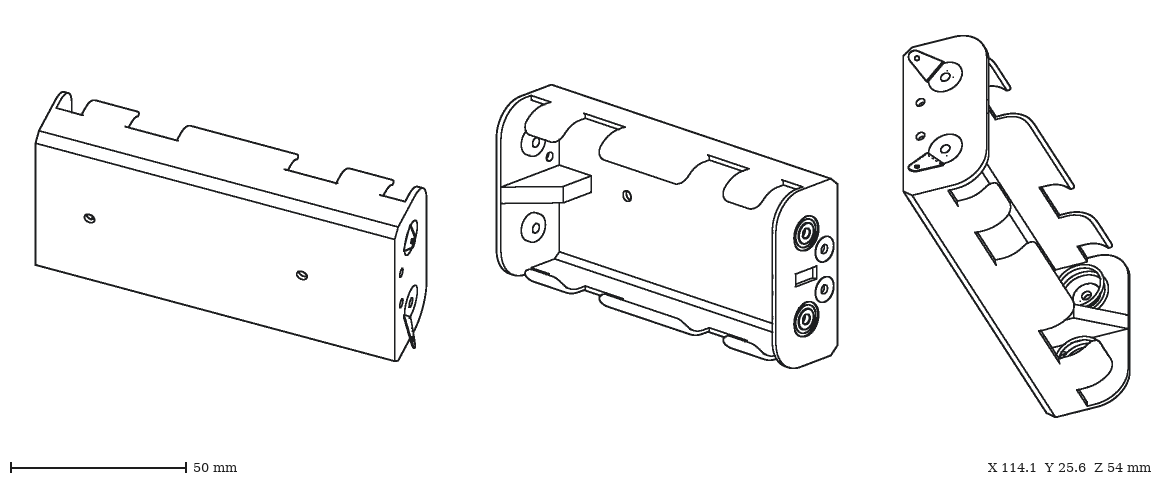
import cadquery as cq
import math

length = 109.5
depth = 25.65
height = 53.98
half_height = height / 2
overall_length = 114.09

wall = 1.4
contact_wall = 1.8
corner_radius = 10.0
arc_start_y = depth - corner_radius
arc_center_z = half_height - corner_radius
chamfer_y = 2.8
chamfer_z = 2.4

rim_y = 13.1
end_finger_start = 8.9
end_finger_length = 14.1
middle_finger_length = 33.6
finger_tip_z = half_height - 6.4
finger_corner = 3.0
finger_edge_radius = 0.65

gusset_thickness = 5.0
spring_gusset_reach = 10.4
contact_gusset_reach = depth - rim_y

slot_y_min = 8.6
slot_y_max = 17.4
slot_height = 3.9
slot_end_slope = 0.35

mount_hole_diameter = 3.1
mount_hole_x = (16.5, 81.2)
wire_hole_y = 5.35
wire_hole_z = 6.15
wire_hole_diameter = 2.6
wire_recess_diameter = 7.6
wire_recess_depth = 0.15

cell_y = 13.0
cell_z = 13.1
terminal_recess_radius = 5.15
terminal_recess_depth = 0.4
tube_radius = 2.4
bore_radius = 1.4
flange_radius = 4.2

washer_thickness = 0.2
lip_radius = 3.15
lip_edge = 0.15
inner_flange_thickness = 0.4

wire_radius = 0.5
coil_radius = 6.6
coil_pitch = 3.4
coil_turns = 1.75

button_height = 1.8
button_edge = 0.4
lug_root_distance = 4.5
lug_heading = 42.0
lug_angle = 29.0
lug_thickness = 0.3
lug_root_half_width = 3.8
lug_tip_radius = 1.9
lug_hole_radius = 0.65
lug_hole_inset = 2.6


def box(x_range, y_range, z_range):
    """Box between the given limits."""
    sizes = [high - low for low, high in (x_range, y_range, z_range)]
    corner = cq.Vector(x_range[0], y_range[0], z_range[0])
    return cq.Workplane(obj=cq.Solid.makeBox(*sizes, corner))


def disc(radius, x_start, x_end, y, z):
    """Cylinder along X."""
    solid = cq.Solid.makeCylinder(radius, x_end - x_start, cq.Vector(x_start, y, z), cq.Vector(1, 0, 0))
    return cq.Workplane(obj=solid)


def end_outline(x):
    """Closed outline of the housing seen along X."""
    arc_reach = corner_radius * math.sqrt(0.5)
    arc_mid_y = arc_start_y + arc_reach
    arc_mid_z = arc_center_z + arc_reach
    return (
        cq.Workplane("YZ", origin=(x, 0, 0))
        .moveTo(0, half_height - chamfer_z)
        .lineTo(chamfer_y, half_height)
        .lineTo(arc_start_y, half_height)
        .threePointArc((arc_mid_y, arc_mid_z), (depth, arc_center_z))
        .lineTo(depth, -arc_center_z)
        .threePointArc((arc_mid_y, -arc_mid_z), (arc_start_y, -half_height))
        .lineTo(chamfer_y, -half_height)
        .lineTo(0, chamfer_z - half_height)
        .close()
    )


def make_tube():
    """Housing shape with the cell space removed and both end walls left solid."""
    cavity = end_outline(wall).offset2D(-wall).extrude(length - wall - contact_wall)
    return end_outline(0).extrude(length).cut(cavity)


def make_finger(tube, x_start, finger_length):
    """Finger on the +Z wall, with rounded tip corners and rounded outer edges."""
    x_end = x_start + finger_length
    blank = box((x_start, x_end), (rim_y, depth), (finger_tip_z, half_height))
    blank = blank.edges("|Y and <Z").fillet(finger_corner)
    finger = tube.intersect(blank)
    return finger.faces(">Z").edges("|Y").fillet(finger_edge_radius)


def make_gusset(root_x, toe_x):
    """Sloped central rib running from an end wall into the cell space."""
    return (
        cq.Workplane("XY", origin=(0, 0, -gusset_thickness / 2))
        .moveTo(root_x, wall)
        .lineTo(root_x, depth)
        .lineTo(toe_x, rim_y)
        .lineTo(toe_x, wall)
        .close()
        .extrude(gusset_thickness)
    )


def make_slot():
    """Slot in the -X end wall, with sloped ends that narrow inward."""
    return (
        cq.Workplane("XY", origin=(0, 0, -slot_height / 2))
        .moveTo(0, slot_y_min)
        .lineTo(wall, slot_y_min + slot_end_slope)
        .lineTo(wall, slot_y_max - slot_end_slope)
        .lineTo(0, slot_y_max)
        .close()
        .extrude(slot_height)
    )


def make_housing():
    """Open-sided housing with fingers, gussets and all its holes and recesses."""
    tube = make_tube()
    open_side = box((wall, length - contact_wall), (rim_y, depth), (-half_height, half_height))
    housing = tube.cut(open_side)

    finger_spans = (
        (end_finger_start, end_finger_length),
        ((length - middle_finger_length) / 2, middle_finger_length),
        (length - end_finger_start - end_finger_length, end_finger_length),
    )
    for x_start, finger_length in finger_spans:
        finger = make_finger(tube, x_start, finger_length)
        housing = housing.union(finger).union(finger.mirror("XY"))

    contact_wall_x = length - contact_wall
    housing = housing.union(make_gusset(wall, wall + spring_gusset_reach))
    housing = housing.union(make_gusset(contact_wall_x, contact_wall_x - contact_gusset_reach))
    housing = housing.cut(make_slot())

    for x in mount_hole_x:
        mount_hole = cq.Solid.makeCylinder(
            mount_hole_diameter / 2, wall, cq.Vector(x, 0, 0), cq.Vector(0, 1, 0)
        )
        housing = housing.cut(cq.Workplane(obj=mount_hole))

    for side in (-1, 1):
        wire_z = side * wire_hole_z
        housing = housing.cut(disc(wire_hole_diameter / 2, 0, length, wire_hole_y, wire_z))
        housing = housing.cut(disc(wire_recess_diameter / 2, 0, wire_recess_depth, wire_hole_y, wire_z))

        terminal_z = side * cell_z
        right_recess_x = length - terminal_recess_depth
        housing = housing.cut(disc(tube_radius, 0, length, cell_y, terminal_z))
        housing = housing.cut(disc(terminal_recess_radius, 0, terminal_recess_depth, cell_y, terminal_z))
        housing = housing.cut(disc(terminal_recess_radius, right_recess_x, length, cell_y, terminal_z))
    return housing


def make_rivet(z):
    """Hollow rivet in the -X end wall, clamping through its washer and inner flange."""
    washer_x = terminal_recess_depth - washer_thickness
    flange_end = wall + inner_flange_thickness
    lip = disc(lip_radius, 0, washer_x, cell_y, z).faces("<X").edges().chamfer(lip_edge)
    return (
        lip.union(disc(flange_radius, washer_x, terminal_recess_depth, cell_y, z))
        .union(disc(tube_radius, washer_x, wall, cell_y, z))
        .union(disc(flange_radius, wall, flange_end, cell_y, z))
        .cut(disc(bore_radius, 0, flange_end, cell_y, z))
        .faces("<X").edges("%CIRCLE").edges(cq.selectors.RadiusNthSelector(0)).chamfer(lip_edge)
    )


def make_spring(z):
    """Coil spring resting on the inside of the -X end wall, around the rivet flange."""
    helix = cq.Wire.makeHelix(coil_pitch, coil_pitch * coil_turns, coil_radius)
    wire_section = cq.Workplane("XZ", origin=(coil_radius, 0, 0)).circle(wire_radius)
    coil = wire_section.sweep(cq.Workplane(obj=helix), isFrenet=True)
    return coil.rotate((0, 0, 0), (0, 1, 0), 90).translate((wall + wire_radius, cell_y, z))


def make_lug(side):
    """Tapered solder lug leaning outward from the +X end wall, toward -Y and away from mid-height."""
    angle = math.radians(lug_angle)
    lug_length = (overall_length - length - lug_thickness * math.cos(angle)) / math.sin(angle)
    root_start = -lug_thickness / math.tan(angle)

    outward = cq.Vector(1, 0, 0)
    heading = math.radians(lug_heading)
    along_wall = cq.Vector(0, -math.cos(heading), side * math.sin(heading))
    along_lug = along_wall * math.cos(angle) + outward * math.sin(angle)
    lug_normal = outward * math.cos(angle) - along_wall * math.sin(angle)
    root = cq.Vector(length, cell_y, side * cell_z) + along_wall * lug_root_distance

    tip_x = lug_length - lug_tip_radius
    corner_angle = math.atan2(lug_root_half_width, tip_x)
    corner_reach = math.hypot(tip_x, lug_root_half_width)
    tangent_angle = math.pi - corner_angle - math.acos(lug_tip_radius / corner_reach)
    tangent_x = tip_x + lug_tip_radius * math.cos(tangent_angle)
    tangent_y = lug_tip_radius * math.sin(tangent_angle)

    lug = (
        cq.Workplane(cq.Plane(root, along_lug, lug_normal))
        .moveTo(root_start, -lug_root_half_width)
        .lineTo(0, -lug_root_half_width)
        .lineTo(tangent_x, -tangent_y)
        .threePointArc((lug_length, 0), (tangent_x, tangent_y))
        .lineTo(0, lug_root_half_width)
        .lineTo(root_start, lug_root_half_width)
        .close()
        .moveTo(lug_length - lug_hole_inset, 0)
        .circle(lug_hole_radius)
        .extrude(lug_thickness)
    )
    outside_wall = box((length, overall_length), (0, depth), (-half_height, half_height))
    return lug.intersect(outside_wall)


def make_contact(side):
    """Hollow contact in the +X end wall: button inside, washer and solder lug outside."""
    z = side * cell_z
    inner_face_x = length - contact_wall
    button_x = inner_face_x - button_height
    button = disc(flange_radius, button_x, inner_face_x, cell_y, z).faces("<X").edges().fillet(button_edge)
    return (
        button.union(disc(tube_radius, inner_face_x, length, cell_y, z))
        .union(disc(terminal_recess_radius, length - terminal_recess_depth, length, cell_y, z))
        .cut(disc(bore_radius, button_x, length, cell_y, z))
        .union(make_lug(side))
    )


housing = make_housing()
bodies = [housing.val()]
for side in (-1, 1):
    bodies.append(make_rivet(side * cell_z).val())
    bodies.append(make_spring(side * cell_z).val())
    bodies.append(make_contact(side).val())

result = cq.Compound.makeCompound(bodies)